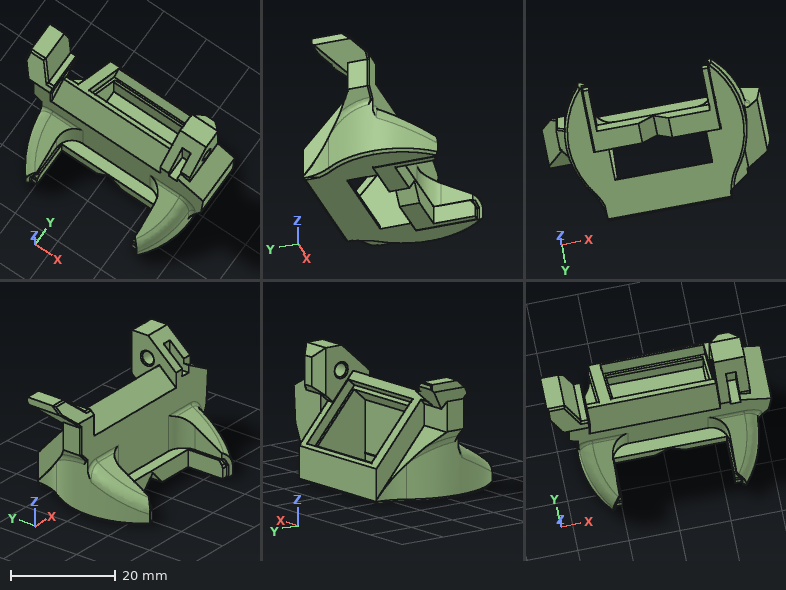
import cadquery as cq
import math

BACK_Y = 16.0
BOTTOM_CHAMFER = 0.5
TALL = 34.6

SURFACE_DROP = 1.12
BLOCK_BACK_TOP = 7.0
BLOCK_BACK_BOTTOM = 0.85
BLOCK_LEFT = -12.4
BLOCK_RIGHT = 11.85
TILT = math.atan(SURFACE_DROP)


def block_top(y):
    return BLOCK_BACK_TOP + SURFACE_DROP * (BACK_Y - y)


def block_bottom(y):
    return BLOCK_BACK_BOTTOM + SURFACE_DROP * (BACK_Y - y)


WALL_LEFT = -15.15
WALL_TOP_FRONT = 16.7
WALL_RIDGE_Y = 4.05
WALL_BACK_Y = 5.15

POCKET_HALF_X = 10.1
POCKET_FRONT_Y = 5.4
POCKET_BACK_Y = 15.45
POCKET_DEPTH = 2.05
LEDGE = 0.85
LEDGE_THICKNESS = 0.55
CAVITY_HALF_X = 9.5
CAVITY_FRONT_Y = 1.75
FLOOR_TOP = 1.05
FLOOR_FRONT_Y = 8.0

BASE_RADIUS = 17.5
CLAW_INNER_X = 11.45
CLAW_ROOT_RADIUS = 3.65
CLAW_TIP_X = 13.0
CLAW_TOP_Z = 11.2
CLAW_TOP_ANGLE = math.radians(30)
CLAW_EDGE_RADIUS = 2.6
CLAW_CREASE_X = 11.35
CLAW_FOOT_RADIUS = 0.85

ARM_DEPTH = 10.72
ARM_TOP = 24.8
ARM_TIP_X = -22.87
ARM_BEND_X = -19.4
ARM_STEP_TOP = 22.15
ARM_HOOK_BOTTOM = 23.25
ARM_FRONT_TOP = 21.25
ARM_RIDGE_Y = 3.98
ARM_BACK_BOTTOM = 23.83
ARM_CHAMFER = 0.3
ARM_BACK_CHAMFER = 0.2
POST_LEFT = -19.6
POST_BOTTOM = 14.0
POST_BACK_Y = 4.35
POST_BACK_TOP = 18.15
POST_CREASE = (-17.1, 3.9, 11.4)
POST_CREASE_RADIUS = 1.75

TOWER_LEFT = 10.3
TOWER_RIGHT = 16.4
TOWER_TOP = 25.85
TOWER_FRONT_TOP = 19.95
TOWER_FRONT_BOTTOM = 8.05
TOWER_RIDGE_Y = 6.75
TOWER_BACK_Y = ARM_DEPTH
TOWER_BOSS = 1.95
TOWER_FOOT_Y = 9.0
TOWER_FOOT_Z = block_top(TOWER_FOOT_Y)
HOLE_DIAMETER = 3.3
HOLE_BORE = 2.75
HOLE_Y = 6.95
HOLE_Z = 20.9
SLOT_LEFT = 12.32
SLOT_RIGHT = 14.25
SLOT_DEPTH = 4.6
SLOT_FLOOR = 18.38
WING_TOP = 19.98
WING_TIP_X = 20.35
WING_TIP_BOTTOM_X = 19.85
WING_TIP_BOTTOM = 9.15
WING_FOOT_X = 16.15
STEP_DEPTH = 1.2
GUSSET_EDGE = [(BLOCK_RIGHT, 14.55), (15.83, 11.75)]

CLIP_GAP = 0.17
CLIP_HALF_X = 12.3
CLIP_INNER_X = 11.05
CLIP_TOP = 3.8
CLIP_FRONT_Y = -2.35
CLIP_TIP_Y = -10.75
CLIP_SHOULDER_X = 0.6
CLIP_SHOULDER_Z = 1.43
NOTCH_HEIGHT = 3.25
NOTCH_HALF_X = 2.95


def prism_x(points, x_min, x_max):
    """Extrude a (Y, Z) outline from x_min to x_max."""
    return cq.Workplane("YZ").polyline(points).close().extrude(x_max - x_min).translate((x_min, 0, 0))


def prism_y(points, y_min, y_max):
    """Extrude an (X, Z) outline from y_min to y_max."""
    return cq.Workplane("XZ").polyline(points).close().extrude(y_min - y_max).translate((0, y_min, 0))


def box(x_min, x_max, y_min, y_max, z_min, z_max):
    return cq.Workplane("XY").box(x_max - x_min, y_max - y_min, z_max - z_min, centered=False).translate(
        (x_min, y_min, z_min)
    )


def sunk(y, depth):
    """Point (Y, Z) lying `depth` below the tilted face point at y, square to that face."""
    return (y - depth * math.sin(TILT), block_top(y) - depth * math.cos(TILT))


def mirrored(body):
    return body.mirror("YZ")


def under_cap():
    """Space below the tilted lower plane of the socket block."""
    profile = [(0, 0), (BACK_Y, 0), (BACK_Y, BLOCK_BACK_BOTTOM), (0, block_bottom(0))]
    return prism_x(profile, -TALL, TALL)


def make_base():
    """Round base behind the front face, flared back by concave arcs and capped by a tilted plane."""
    half_back = -BLOCK_LEFT
    flare = (half_back**2 + BACK_Y**2 - BASE_RADIUS**2) / (2 * (BASE_RADIUS - half_back))
    centre_x = half_back + flare
    reach = BASE_RADIUS / (BASE_RADIUS + flare)
    join = (centre_x * reach, BACK_Y * reach)
    join_angle = math.atan2(join[1], join[0])
    round_mid = (BASE_RADIUS * math.cos(join_angle / 2), BASE_RADIUS * math.sin(join_angle / 2))
    flare_mid = (centre_x - flare * math.cos(join_angle / 2), BACK_Y - flare * math.sin(join_angle / 2))
    outline = (
        cq.Workplane("XY")
        .moveTo(-BASE_RADIUS, 0)
        .lineTo(BASE_RADIUS, 0)
        .threePointArc(round_mid, join)
        .threePointArc(flare_mid, (half_back, BACK_Y))
        .lineTo(-half_back, BACK_Y)
        .threePointArc((-flare_mid[0], flare_mid[1]), (-join[0], join[1]))
        .threePointArc((-round_mid[0], round_mid[1]), (-BASE_RADIUS, 0))
        .close()
    )
    beyond_right_edge = (
        cq.Workplane("XY")
        .polyline([(BLOCK_RIGHT, TALL), *GUSSET_EDGE, (TALL, GUSSET_EDGE[1][1]), (TALL, TALL)])
        .close()
        .extrude(TALL)
    )
    base = outline.extrude(block_bottom(POST_BACK_Y))
    base = base.faces("<Z").edges("not(<Y)").chamfer(BOTTOM_CHAMFER).cut(beyond_right_edge)
    return base.intersect(under_cap())


def make_socket_block():
    outline = [
        (WALL_RIDGE_Y, 0),
        (BACK_Y, 0),
        (BACK_Y, BLOCK_BACK_TOP),
        (WALL_RIDGE_Y, block_top(WALL_RIDGE_Y)),
    ]
    block = prism_x(outline, BLOCK_LEFT, BLOCK_RIGHT)
    return block.faces("<Z").edges(">Y").chamfer(BOTTOM_CHAMFER)


def make_front_wall():
    outline = [
        (0, 0),
        (POST_BACK_Y, 0),
        (POST_BACK_Y, POST_BACK_TOP),
        (WALL_BACK_Y, block_top(WALL_BACK_Y)),
        (WALL_RIDGE_Y, block_top(WALL_RIDGE_Y)),
        (0, WALL_TOP_FRONT),
    ]
    return prism_x(outline, WALL_LEFT - ARM_CHAMFER, BLOCK_RIGHT)


def make_arm():
    """Hooked left arm on its post, chamfered around the front and back faces."""
    hook_outline = [
        (ARM_TIP_X, ARM_TOP),
        (ARM_BEND_X, ARM_TOP),
        (ARM_BEND_X + ARM_TOP - ARM_STEP_TOP, ARM_STEP_TOP),
        (WALL_LEFT, ARM_STEP_TOP),
        (WALL_LEFT, ARM_HOOK_BOTTOM + ARM_TIP_X - WALL_LEFT),
        (ARM_TIP_X, ARM_HOOK_BOTTOM),
    ]
    hook_profile = [
        (0, 0),
        (0, ARM_FRONT_TOP),
        (ARM_RIDGE_Y, ARM_TOP),
        (ARM_DEPTH, ARM_TOP),
        (ARM_DEPTH, ARM_BACK_BOTTOM),
        (POST_BACK_Y, POST_BACK_TOP),
        (POST_BACK_Y, 0),
    ]
    post_outline = [
        (POST_LEFT, ARM_HOOK_BOTTOM + ARM_TIP_X - POST_LEFT),
        (WALL_LEFT, ARM_HOOK_BOTTOM + ARM_TIP_X - POST_LEFT),
        (WALL_LEFT, POST_BOTTOM + POST_LEFT - WALL_LEFT),
        (POST_LEFT, POST_BOTTOM),
    ]
    post_profile = [
        (0, 0),
        (0, TALL),
        (POST_BACK_Y, TALL),
        (POST_BACK_Y, block_bottom(POST_BACK_Y)),
        (ARM_DEPTH, block_bottom(ARM_DEPTH)),
        (ARM_DEPTH, 0),
    ]
    hook = prism_y(hook_outline, 0, ARM_DEPTH).intersect(prism_x(hook_profile, -TALL, 0))
    post = prism_y(post_outline, 0, ARM_DEPTH).intersect(prism_x(post_profile, -TALL, 0))
    return chamfer_arm(hook.union(post))


def chamfer_arm(arm):
    """Chamfer the rim of the two front faces, the back rim of the hook and the edge beside the wall."""
    slope_normal = cq.Vector(0, ARM_FRONT_TOP - ARM_TOP, ARM_RIDGE_Y)
    slope_rim = arm.faces(cq.selectors.DirectionMinMaxSelector(slope_normal)).edges("not(<Z)")
    flat_rim = arm.faces("<Y").edges("not(|X)")
    arm = arm.newObject(slope_rim.vals() + flat_rim.vals()).chamfer(ARM_CHAMFER)
    arm = arm.faces(">Y").edges("not(<Z)").chamfer(ARM_BACK_CHAMFER)
    wall_edge = cq.selectors.NearestToPointSelector((WALL_LEFT, ARM_RIDGE_Y, ARM_STEP_TOP))
    return arm.edges(wall_edge).chamfer(ARM_CHAMFER)


def make_wing():
    """Right wing, with a tapering outline, and the straight gusset behind it."""
    outline = [
        (BLOCK_RIGHT, BOTTOM_CHAMFER),
        (WING_FOOT_X, BOTTOM_CHAMFER),
        (WING_TIP_BOTTOM_X, WING_TIP_BOTTOM),
        (WING_TIP_X, WALL_TOP_FRONT),
        (SLOT_RIGHT, WING_TOP),
        (BLOCK_RIGHT, WING_TOP),
    ]
    tower_slope = (TOWER_TOP - TOWER_FRONT_TOP) / TOWER_RIDGE_Y
    below_slope = [
        (0, 0),
        (TALL, 0),
        (TALL, TOWER_FRONT_TOP + TALL * tower_slope),
        (0, TOWER_FRONT_TOP),
    ]
    wing = prism_y(outline, 0, TOWER_BACK_Y).intersect(prism_x(below_slope, 0, TALL))
    gusset = (
        cq.Workplane("XY", origin=(0, 0, BOTTOM_CHAMFER))
        .polyline([(BLOCK_RIGHT, CAVITY_FRONT_Y), *GUSSET_EDGE, (GUSSET_EDGE[1][0], CAVITY_FRONT_Y)])
        .close()
        .extrude(TALL)
    )
    return wing.union(gusset.intersect(under_cap()))


def make_tower():
    """Tower with a sloped front, a tapered boss on its back and a tilted underside."""
    profile = [
        (0, TOWER_FRONT_BOTTOM),
        (0, TOWER_FRONT_TOP),
        (TOWER_RIDGE_Y, TOWER_TOP),
        (TOWER_BACK_Y, TOWER_TOP),
        (TOWER_BACK_Y, TOWER_FOOT_Z),
        (TOWER_FOOT_Y, TOWER_FOOT_Z),
    ]
    tower = prism_x(profile, TOWER_LEFT, TOWER_RIGHT)
    width = TOWER_RIGHT - TOWER_LEFT
    height = TOWER_TOP - TOWER_FOOT_Z
    boss = (
        cq.Workplane("XZ", origin=((TOWER_LEFT + TOWER_RIGHT) / 2, TOWER_BACK_Y, TOWER_FOOT_Z + height / 2))
        .rect(width, height)
        .workplane(offset=-TOWER_BOSS)
        .rect(width - 2 * TOWER_BOSS, height - 2 * TOWER_BOSS)
        .loft()
    )
    rise = (BACK_Y - TOWER_FOOT_Y) / SURFACE_DROP
    under_foot = [
        (TOWER_FOOT_Y, TOWER_FOOT_Z),
        (BACK_Y, TOWER_FOOT_Z + rise),
        (BACK_Y, 0),
        (TOWER_FOOT_Y, 0),
    ]
    return tower.union(boss).cut(prism_x(under_foot, TOWER_LEFT, TOWER_RIGHT))


def cut_tower(housing):
    """Cut the front slot, the step beside it and the cross hole with its tapered mouth."""
    housing = housing.cut(box(SLOT_LEFT, SLOT_RIGHT, 0, SLOT_DEPTH, SLOT_FLOOR, TALL))
    step = [
        (SLOT_RIGHT, WING_TOP),
        (WING_TIP_X, WALL_TOP_FRONT),
        (WING_TIP_X, TALL),
        (SLOT_RIGHT, TALL),
    ]
    housing = housing.cut(prism_y(step, 0, STEP_DEPTH))
    bore = cq.Workplane("YZ", origin=(TOWER_LEFT, HOLE_Y, HOLE_Z)).circle(HOLE_BORE / 2).extrude(TALL)
    rim = (HOLE_DIAMETER - HOLE_BORE) / 2
    mouth = cq.Workplane(
        cq.Solid.makeCone(
            HOLE_DIAMETER / 2, HOLE_BORE / 2, rim, cq.Vector(TOWER_LEFT, HOLE_Y, HOLE_Z), cq.Vector(1, 0, 0)
        )
    )
    return housing.cut(bore).cut(mouth)


def cut_socket(housing):
    """Cut the tilted pocket and, through its ledge, the cavity with its open floor."""
    pocket = [
        sunk(POCKET_FRONT_Y, -LEDGE),
        sunk(POCKET_FRONT_Y, POCKET_DEPTH),
        sunk(POCKET_BACK_Y, POCKET_DEPTH),
        sunk(POCKET_BACK_Y, -LEDGE),
    ]
    inset = LEDGE * math.cos(TILT)
    opening_front = POCKET_FRONT_Y + inset
    opening_back = POCKET_BACK_Y - inset
    deep = POCKET_DEPTH + LEDGE_THICKNESS
    front_upper = sunk(opening_front, deep)
    back_wall = sunk(opening_back, deep)
    front_lower_z = front_upper[1] - (front_upper[0] - CAVITY_FRONT_Y) / SURFACE_DROP
    floor_chamfer = FLOOR_TOP - BOTTOM_CHAMFER
    cavity = [
        sunk(opening_front, POCKET_DEPTH),
        front_upper,
        (CAVITY_FRONT_Y, front_lower_z),
        (CAVITY_FRONT_Y, 0),
        (FLOOR_FRONT_Y, 0),
        (FLOOR_FRONT_Y, BOTTOM_CHAMFER),
        (FLOOR_FRONT_Y + floor_chamfer, FLOOR_TOP),
        (back_wall[0], FLOOR_TOP),
        back_wall,
        sunk(opening_back, POCKET_DEPTH),
    ]
    housing = housing.cut(prism_x(pocket, -POCKET_HALF_X, POCKET_HALF_X))
    return housing.cut(prism_x(cavity, -CAVITY_HALF_X, CAVITY_HALF_X))


def make_claw():
    """Left claw: a crescent prism under a falling top plane, rounded along its outer edge."""
    tip_y = -math.sqrt(BASE_RADIUS**2 - CLAW_TIP_X**2)
    arc_angle = math.atan2(-tip_y, CLAW_TIP_X) / 2
    arc_mid = (-BASE_RADIUS * math.cos(arc_angle), -BASE_RADIUS * math.sin(arc_angle))
    root_x = CLAW_INNER_X - CLAW_ROOT_RADIUS
    root_mid = CLAW_ROOT_RADIUS * (1 - math.sqrt(0.5))
    outline = (
        cq.Workplane("XY")
        .moveTo(-BASE_RADIUS, 0)
        .threePointArc(arc_mid, (-CLAW_TIP_X, tip_y))
        .lineTo(-CLAW_INNER_X, tip_y + CLAW_TIP_X - CLAW_INNER_X)
        .lineTo(-CLAW_INNER_X, -CLAW_ROOT_RADIUS)
        .threePointArc((-CLAW_INNER_X + root_mid, -root_mid), (-root_x, 0))
        .close()
    )
    claw = outline.extrude(CLAW_TOP_Z)
    claw = claw.faces("<Z").edges("<X").chamfer(BOTTOM_CHAMFER)
    fall = math.tan(CLAW_TOP_ANGLE)
    above = [(0, CLAW_TOP_Z), (-TALL, CLAW_TOP_Z - TALL * fall), (-TALL, TALL), (0, TALL)]
    claw = claw.cut(prism_x(above, -TALL, 0))
    edge_point = (arc_mid[0], arc_mid[1], CLAW_TOP_Z + arc_mid[1] * fall)
    return claw.edges(cq.selectors.NearestToPointSelector(edge_point)).fillet(CLAW_EDGE_RADIUS)


def round_claw_feet(housing):
    """Fillet the crease between each claw and the front face, along the claw's top and outer side."""
    for side in (-1, 1):
        crease = cq.selectors.NearestToPointSelector((side * CLAW_CREASE_X, 0, CLAW_TOP_Z))
        housing = housing.edges(crease).fillet(CLAW_FOOT_RADIUS)
    return housing


def round_post_crease(housing):
    """Fillet the crease where the round base runs into the sloped underside of the post."""
    crease = cq.selectors.NearestToPointSelector(POST_CREASE)
    return housing.edges(crease).fillet(POST_CREASE_RADIUS)


def clip_section(margin):
    """Front (X, Z) outline of the clip, grown by a margin at its sides and top."""
    half_x = CLIP_HALF_X + margin
    top = CLIP_TOP + margin
    shoulder_x = half_x - CLIP_SHOULDER_X
    shoulder_z = top - CLIP_SHOULDER_Z
    return [
        (-half_x, 0),
        (-half_x, shoulder_z),
        (-shoulder_x, top),
        (shoulder_x, top),
        (half_x, shoulder_z),
        (half_x, 0),
    ]


def make_housing():
    claw = make_claw()
    housing = make_base().union(make_socket_block()).union(make_front_wall()).union(make_arm())
    housing = round_post_crease(housing)
    housing = housing.union(make_wing()).union(make_tower()).union(claw).union(mirrored(claw))
    housing = cut_socket(cut_tower(housing))
    housing = round_claw_feet(housing)
    return housing.cut(prism_y(clip_section(CLIP_GAP), -TALL, CAVITY_FRONT_Y))


def make_clip():
    """U-shaped clip: a notched bar with two arms whose tips are bevelled in two steps."""
    clip = prism_y(clip_section(0), CLIP_TIP_Y, CAVITY_FRONT_Y)
    clip = clip.cut(box(-CLIP_INNER_X, CLIP_INNER_X, CLIP_TIP_Y, CLIP_FRONT_Y, 0, TALL))
    tip_bevel = [
        (CLIP_TIP_Y, 2.35),
        (CLIP_TIP_Y + 0.2, 3.0),
        (CLIP_TIP_Y + 0.9, CLIP_TOP),
        (CLIP_TIP_Y, CLIP_TOP),
    ]
    clip = clip.cut(prism_x(tip_bevel, -TALL, TALL))
    notch = [(-NOTCH_HALF_X, 0), (0, NOTCH_HEIGHT), (NOTCH_HALF_X, 0)]
    return clip.cut(prism_y(notch, CLIP_FRONT_Y, CAVITY_FRONT_Y))


housing = make_housing()
clip = make_clip()
result = cq.Compound.makeCompound([housing.val(), clip.val()])